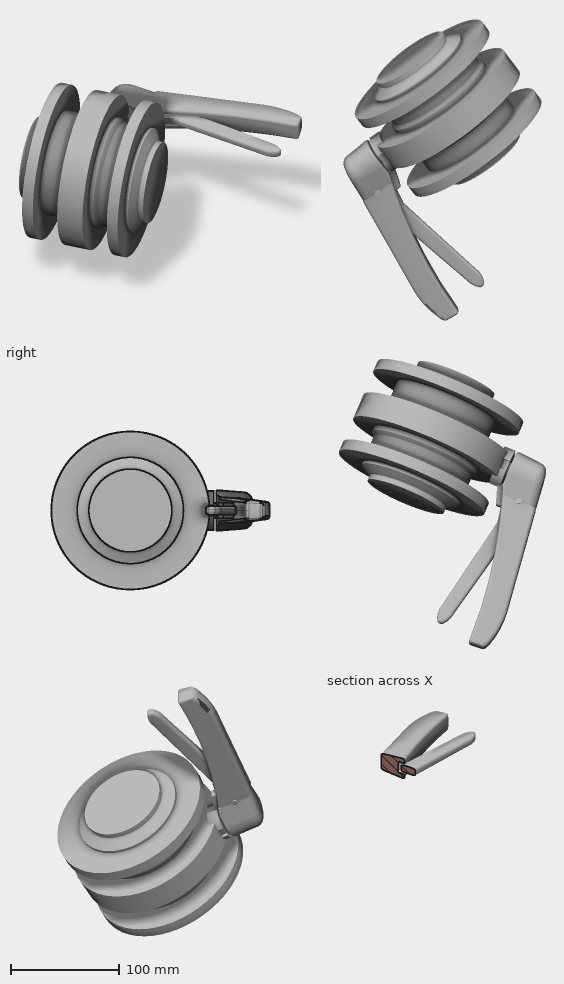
import cadquery as cq
import math


DISC_HALF = 12.1
DISC_R = 146.0 / 2
BEAD_R = 52.2
BEAD_HALF = 19.5
BEAD_CHAMFER = 3.1
BARREL_R = 49.0
FLANGE_INNER = 35.8
FLANGE_OUTER = 46.1
CONE_INNER = 48.8
CONE_OUTER = 55.0
SPIGOT_R = 38.2
VALVE_HALF = 60.0

COLLAR_R = 18.7
COLLAR_BOTTOM = 66.1
COLLAR_TOP = 77.0
STEM_R = 7.0
NOTCH_COUNT = 4
NOTCH_WIDTH = 9.7
NOTCH_FLOOR = 14.8

HANDLE_BOTTOM = 79.0
HANDLE_DRAFT = 4.5
DRAFT_HEIGHT = 51.7
HUB_R = 19.0
HUB_TOP_FILLET = 7.9
HUB_BOTTOM_FILLET = 1.8

SEAM_X = 25.0
SEAM_OVERRUN = 5.0
GRIP_HALF_AT_SEAM = 12.8
GRIP_HALF_AT_TIP = 11.5
GRIP_SIDE_END = 165.5
GRIP_MIDDLE_BAND = 3.0
TIP_X = 167.2
GRIP_TOP_FILLET = 3.4
GRIP_BOTTOM_FILLET = 2.2
GRIP_END_FILLET = 2.2

TOP_START_Y = 109.5
TOP_END = (122.8, 128.0)
BROW_MIDDLE = (144.0, 127.8)
BROW_END = (158.5, 124.5)
NOSE_MIDDLE = (163.0, 121.5)
NOSE_END_Y = 114.7
TOP_SLOPE = (TOP_END[1] - TOP_START_Y) / (TOP_END[0] + HUB_R)
TOP_AT_SEAM = TOP_START_Y + TOP_SLOPE * (SEAM_X + HUB_R)
UNDERSIDE_START_X = 15.7
UNDERSIDE_SLOPE = 0.33
UNDERSIDE_AT_SEAM = HANDLE_BOTTOM + UNDERSIDE_SLOPE * (SEAM_X - UNDERSIDE_START_X)
UNDERSIDE_END_Y = 106.6
UNDERSIDE_CURVE = [(42.7, 87.7), (82.3, 97.6), (124.2, 104.2), (TIP_X, UNDERSIDE_END_Y)]

PIN_Y = 98.5
PIN_R = 3.0
PIN_HALF = 12.0

RELIEF_START = 22.5
RELIEF_END = 73.0
RELIEF_HALF = 7.2
RELIEF_CORNER = 3.1
RELIEF_DEPTH = 4.5

LEVER_THICKNESS = 7.9
TRIGGER_ROOT_TOP = (49.5, 104.0)
TRIGGER_ROOT_BOTTOM = (49.5, 87.3)
TRIGGER_TIP_BOTTOM = (141.5, 70.2)
TRIGGER_BELLY = (150.0, 69.7)
TRIGGER_NOSE_BOTTOM = (155.5, 71.8)
TRIGGER_NOSE = (157.5, 75.1)
TRIGGER_NOSE_TOP = (156.0, 78.0)
TRIGGER_BROW = (151.5, 81.2)
TRIGGER_TIP_TOP = (144.7, 83.2)
TRIGGER_FILLET = 2.7
LATCH_GAP = 0.5
LATCH_TOOTH_X = NOTCH_FLOOR + LATCH_GAP
LATCH_TOOTH_Y = 74.0
LATCH_TOP_Y = 90.0
LATCH_END_X = 35.3
LATCH_END_BOTTOM = 79.6
LATCH_END_TOP = 84.5
LATCH_END_FILLET = 1.5


def make_collar():
    height = COLLAR_TOP - COLLAR_BOTTOM
    base = cq.Workplane("ZX", origin=(0, COLLAR_BOTTOM, 0))
    notches = (
        base.polarArray(NOTCH_FLOOR + NOTCH_WIDTH / 2, 0, 360, NOTCH_COUNT)
        .rect(NOTCH_WIDTH, NOTCH_WIDTH)
        .extrude(height)
    )
    return base.circle(COLLAR_R).extrude(height).cut(notches)


def make_stem():
    base = cq.Workplane("ZX", origin=(0, COLLAR_BOTTOM, 0))
    return base.circle(STEM_R).extrude(HANDLE_BOTTOM - COLLAR_BOTTOM)


def make_valve():
    half_outline = [
        (0, DISC_R),
        (DISC_HALF, DISC_R),
        (DISC_HALF, BEAD_R),
        (BEAD_HALF - BEAD_CHAMFER, BEAD_R),
        (BEAD_HALF, BARREL_R),
        (FLANGE_INNER, BARREL_R),
        (FLANGE_INNER, DISC_R),
        (FLANGE_OUTER, DISC_R),
        (FLANGE_OUTER, BARREL_R),
        (CONE_INNER, BARREL_R),
        (CONE_OUTER, SPIGOT_R),
        (VALVE_HALF, SPIGOT_R),
        (VALVE_HALF, 0),
        (0, 0),
    ]
    half = cq.Workplane("XY").polyline(half_outline).close().revolve(360, (0, 0, 0), (1, 0, 0))
    barrel = half.union(half.mirror("YZ"))
    return barrel.union(make_collar()).union(make_stem()).clean()


def handle_blank(plan, side):
    """Drafted solid over a (z, x) plan, trimmed to an (x, y) side outline."""
    drafted = plan.extrude(DRAFT_HEIGHT, taper=HANDLE_DRAFT)
    return drafted.intersect(side.extrude(2 * HUB_R, both=True))


def make_hub():
    seam_distance = math.hypot(SEAM_X, GRIP_HALF_AT_SEAM)
    tangent_angle = math.atan2(GRIP_HALF_AT_SEAM, SEAM_X) + math.acos(HUB_R / seam_distance)
    touch_x = HUB_R * math.cos(tangent_angle)
    touch_z = HUB_R * math.sin(tangent_angle)
    end_x = SEAM_X + SEAM_OVERRUN
    end_z = touch_z - (end_x - touch_x) / math.tan(tangent_angle)
    plan = (
        cq.Workplane("ZX", origin=(0, HANDLE_BOTTOM, 0))
        .moveTo(end_z, end_x)
        .lineTo(touch_z, touch_x)
        .threePointArc((0, -HUB_R), (-touch_z, touch_x))
        .lineTo(-end_z, end_x)
        .close()
    )
    side = (
        cq.Workplane("XY")
        .moveTo(-HUB_R, HANDLE_BOTTOM)
        .lineTo(UNDERSIDE_START_X, HANDLE_BOTTOM)
        .lineTo(SEAM_X, UNDERSIDE_AT_SEAM)
        .lineTo(SEAM_X, TOP_AT_SEAM)
        .lineTo(-HUB_R, TOP_START_Y)
        .close()
    )
    hub = handle_blank(plan, side)
    hub = hub.faces(">Y").edges("not(>X)").fillet(HUB_TOP_FILLET)
    return hub.faces("<Y").edges("not(>X)").fillet(HUB_BOTTOM_FILLET)


def edges_within(solid, x_range, y_range):
    """Edges on both side walls of the grip whose middles lie in the given ranges."""
    boxes = []
    for side in (1, -1):
        inner = (x_range[0], y_range[0], side * GRIP_MIDDLE_BAND)
        outer = (x_range[1], y_range[1], side * HUB_R)
        boxes.append(cq.selectors.BoxSelector(inner, outer))
    return solid.edges(boxes[0] + boxes[1])


def make_grip():
    plan = (
        cq.Workplane("ZX", origin=(0, HANDLE_BOTTOM, 0))
        .moveTo(-GRIP_HALF_AT_SEAM, 0)
        .lineTo(-GRIP_HALF_AT_TIP, GRIP_SIDE_END)
        .threePointArc((0, TIP_X), (GRIP_HALF_AT_TIP, GRIP_SIDE_END))
        .lineTo(GRIP_HALF_AT_SEAM, 0)
        .close()
    )
    side = (
        cq.Workplane("XY")
        .moveTo(SEAM_X, TOP_AT_SEAM)
        .lineTo(SEAM_X, UNDERSIDE_AT_SEAM)
        .spline(UNDERSIDE_CURVE, includeCurrent=True)
        .lineTo(TIP_X, NOSE_END_Y)
        .threePointArc(NOSE_MIDDLE, BROW_END)
        .threePointArc(BROW_MIDDLE, TOP_END)
        .close()
    )
    grip = handle_blank(plan, side)
    past_seam = (SEAM_X + 2.2, TIP_X)
    near_end = (BROW_END[0], TIP_X)
    grip = edges_within(grip, near_end, (UNDERSIDE_END_Y + 2.2, NOSE_END_Y + 2.2)).fillet(GRIP_END_FILLET)
    grip = edges_within(grip, past_seam, (HANDLE_BOTTOM, UNDERSIDE_END_Y + 2.2)).fillet(GRIP_BOTTOM_FILLET)
    return edges_within(grip, past_seam, (NOSE_END_Y + 2.2, TOP_END[1])).fillet(GRIP_TOP_FILLET)


def make_relief():
    """Pocket with cut corners whose floor follows the slope of the underside."""
    plan = (
        cq.Workplane("ZX", origin=(0, HANDLE_BOTTOM, 0))
        .moveTo(-RELIEF_HALF, RELIEF_START)
        .lineTo(-RELIEF_HALF, RELIEF_END - RELIEF_CORNER)
        .lineTo(-RELIEF_HALF + RELIEF_CORNER, RELIEF_END)
        .lineTo(RELIEF_HALF - RELIEF_CORNER, RELIEF_END)
        .lineTo(RELIEF_HALF, RELIEF_END - RELIEF_CORNER)
        .lineTo(RELIEF_HALF, RELIEF_START)
        .close()
        .extrude(DRAFT_HEIGHT)
    )
    floor_start = HANDLE_BOTTOM + RELIEF_DEPTH + UNDERSIDE_SLOPE * (RELIEF_START - UNDERSIDE_START_X)
    floor_end = floor_start + UNDERSIDE_SLOPE * (RELIEF_END - RELIEF_START)
    below_floor = (
        cq.Workplane("XY")
        .moveTo(RELIEF_START, HANDLE_BOTTOM)
        .lineTo(RELIEF_END, HANDLE_BOTTOM)
        .lineTo(RELIEF_END, floor_end)
        .lineTo(RELIEF_START, floor_start)
        .close()
        .extrude(HUB_R, both=True)
    )
    return plan.intersect(below_floor)


def make_lever():
    trigger = (
        cq.Workplane("XY")
        .moveTo(*TRIGGER_ROOT_BOTTOM)
        .lineTo(*TRIGGER_TIP_BOTTOM)
        .threePointArc(TRIGGER_BELLY, TRIGGER_NOSE_BOTTOM)
        .threePointArc(TRIGGER_NOSE, TRIGGER_NOSE_TOP)
        .threePointArc(TRIGGER_BROW, TRIGGER_TIP_TOP)
        .lineTo(*TRIGGER_ROOT_TOP)
        .close()
        .extrude(LEVER_THICKNESS / 2, both=True)
        .faces("<Z or >Z")
        .edges("not(<X)")
        .fillet(TRIGGER_FILLET)
    )
    latch = (
        cq.Workplane("XY")
        .moveTo(LATCH_TOOTH_X, LATCH_TOOTH_Y)
        .lineTo(COLLAR_R, LATCH_TOOTH_Y)
        .lineTo(LATCH_END_X, LATCH_END_BOTTOM)
        .lineTo(LATCH_END_X, LATCH_END_TOP)
        .lineTo(*TRIGGER_ROOT_BOTTOM)
        .lineTo(*TRIGGER_ROOT_TOP)
        .lineTo(LATCH_TOOTH_X, LATCH_TOP_Y)
        .close()
        .extrude(LEVER_THICKNESS / 2, both=True)
    )
    end_edges = cq.selectors.BoxSelector(
        (LATCH_END_X - LATCH_END_FILLET, LATCH_END_BOTTOM, -LEVER_THICKNESS),
        (LATCH_END_X + LATCH_END_FILLET, LATCH_END_TOP, LEVER_THICKNESS),
    )
    latch = latch.edges("|Y").edges(end_edges).fillet(LATCH_END_FILLET)
    return trigger.union(latch)


def make_handle():
    pin = cq.Workplane("XY").center(SEAM_X, PIN_Y).circle(PIN_R).extrude(PIN_HALF, both=True)
    shell = make_hub().union(make_grip()).cut(make_relief())
    return shell.union(make_lever()).union(pin).solids()


valve = make_valve()
handle = make_handle()

result = cq.Compound.makeCompound([valve.val(), handle.val()])